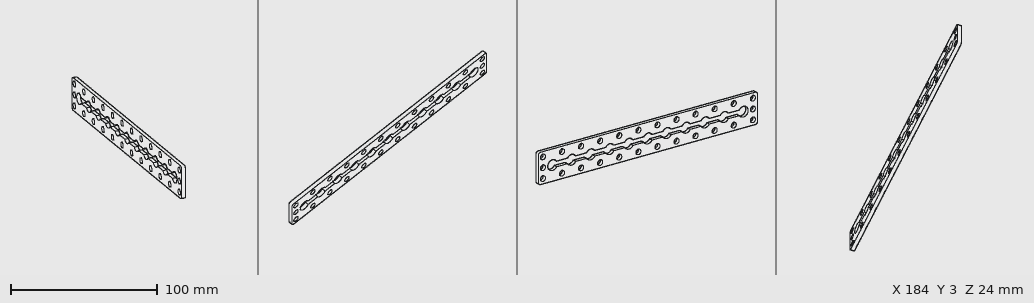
import cadquery as cq

length = 184.0
thickness = 3.0
corner_radius = 2.0
cells_long = 23
cells_high = 3
cell = length / cells_long
height = cells_high * cell

hole_diameter = 4.0
hole_pitch = 2 * cell
hole_columns = 12
row_spacing = (cells_high - 1) * cell
end_hole_spacing = (cells_long - 1) * cell

opening_diameter = 8.0
opening_columns = hole_columns - 1
slot_height = 4.0
slot_length = (opening_columns - 1) * hole_pitch


def extrude_through(outlines):
    """Extrude XZ outlines over the plate thickness, centred on Y = 0."""
    return outlines.extrude(thickness / 2, both=True)


def round_cutters(diameter, x_spacing, columns, z_spacing=cell, rows=1):
    """Cylinders along Y on a centred grid in the XZ plane."""
    centres = cq.Workplane("XZ").rarray(x_spacing, z_spacing, columns, rows)
    return extrude_through(centres.circle(diameter / 2))


def plate():
    """Rectangular blank with rounded corners."""
    blank = extrude_through(cq.Workplane("XZ").rect(length, height))
    return blank.edges("|Y").fillet(corner_radius)


def beaded_slot():
    """Straight slot joining the row of round openings."""
    slot = extrude_through(cq.Workplane("XZ").rect(slot_length, slot_height))
    return slot.union(round_cutters(opening_diameter, hole_pitch, opening_columns))


row_holes = round_cutters(hole_diameter, hole_pitch, hole_columns, row_spacing, rows=2)
end_holes = round_cutters(hole_diameter, end_hole_spacing, columns=2)

result = plate().cut(row_holes).cut(end_holes).cut(beaded_slot())